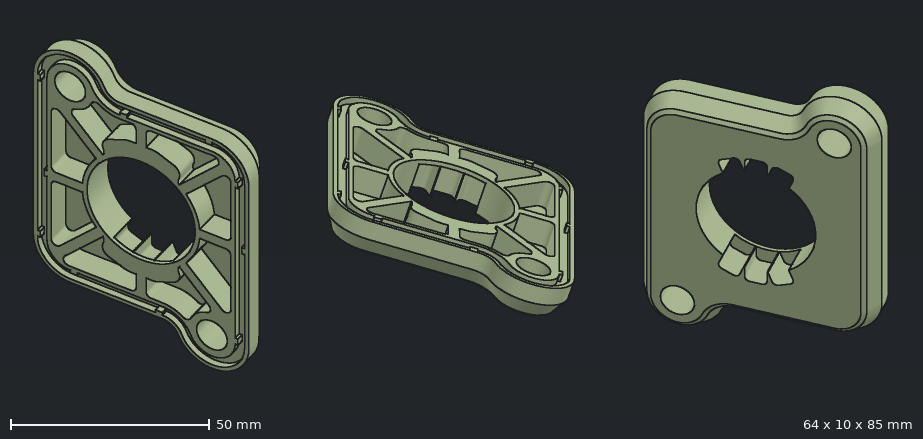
import cadquery as cq
import math


thickness = 10.0
length = 85.0
width = 64.0
half_width = width / 2
corner_radius = 11.0
lug_x = half_width - corner_radius
lug_z = length / 2 - corner_radius
half_height = 32.7
corner_z = half_height - corner_radius
lug_blend_radius = 5.0
lug_hole_diameter = 9.1

straight_side = 4.9
bevel_angle = 30.0
back_chamfer = 0.85

wall = 1.3
groove_width = 2.8
groove_depth = 1.95
groove_inner_offset = wall + groove_width
nub_length = 2.0
nub_height = 0.85

pocket_offset = groove_inner_offset + wall
pocket_depth = 7.05
lug_boss_radius = corner_radius - groove_inner_offset
pocket_corner_radius = 1.5
rib_width = 3.0
rib_angles = (0, 45, 90, 135)
bore_diameter = 32.0
hub_wall = 1.45
ring_radius = bore_diameter / 2 + hub_wall

slot_width = 6.0
slot_half_width = slot_width / 2
slot_reach = 20.0
slot_pitch_angle = 22.5
slot_corner_radius = 1.4
slot_front_wall = 1.3
housing_half_width = slot_half_width + hub_wall
housing_reach = slot_reach + hub_wall
housing_corner_radius = slot_corner_radius + hub_wall
housing_foot_radius = 2.0
housing_crown_radius = 5.95

blend_z = half_height + lug_blend_radius
blend_center_distance = corner_radius + lug_blend_radius
blend_run = math.sqrt(blend_center_distance**2 - (blend_z - lug_z) ** 2)
blend_x = -lug_x + blend_run


def front_plane(y=0.0):
    """Workplane at depth y whose local axes are X and Z; a negative extrusion goes to the back."""
    return cq.Workplane("XZ", origin=(0, y, 0))


def box(x_min, x_max, y_min, y_max, z_min, z_max):
    """Block between the given limits along each axis."""
    size = (x_max - x_min, y_max - y_min, z_max - z_min)
    return cq.Workplane("XY").box(*size, centered=False).translate((x_min, y_min, z_min))


def turned(shape, angle):
    """The shape turned about the bore axis."""
    return shape.rotate((0, 0, 0), (0, 1, 0), angle)


def outline(plane, offset=0.0):
    """Closed plate outline, moved inwards by offset."""
    lug_r = corner_radius - offset
    blend_r = lug_blend_radius + offset
    side = half_width - offset
    edge = half_height - offset
    diagonal = lug_r * math.sqrt(0.5)
    touch_x = -lug_x + blend_run * lug_r / blend_center_distance
    touch_z = lug_z + (blend_z - lug_z) * lug_r / blend_center_distance
    blend_angle = (math.atan2(touch_z - blend_z, touch_x - blend_x) - math.pi / 2) / 2
    mid_x = blend_x + blend_r * math.cos(blend_angle)
    mid_z = blend_z + blend_r * math.sin(blend_angle)
    return (
        plane.moveTo(-side, -corner_z)
        .lineTo(-side, lug_z)
        .threePointArc((-lug_x, lug_z + lug_r), (touch_x, touch_z))
        .threePointArc((mid_x, mid_z), (blend_x, edge))
        .lineTo(lug_x, edge)
        .threePointArc((lug_x + diagonal, corner_z + diagonal), (side, corner_z))
        .lineTo(side, -lug_z)
        .threePointArc((lug_x, -lug_z - lug_r), (-touch_x, -touch_z))
        .threePointArc((-mid_x, -mid_z), (-blend_x, -edge))
        .lineTo(-lug_x, -edge)
        .threePointArc((-lug_x - diagonal, -corner_z - diagonal), (-side, -corner_z))
        .close()
    )


def plate():
    """Solid plate with a bevelled and chamfered back edge."""
    body = outline(front_plane()).extrude(-straight_side)
    bevel = outline(front_plane(straight_side)).extrude(straight_side - thickness, taper=bevel_angle)
    bevel = bevel.faces(">Y").edges().chamfer(back_chamfer)
    return body.union(bevel)


def groove():
    """Channel between the lip and the inner wall."""
    outer = outline(front_plane(), wall).extrude(-groove_depth)
    inner = outline(front_plane(), groove_inner_offset).extrude(-groove_depth)
    return outer.cut(inner).cut(groove_nubs())


def groove_nubs():
    """Small blocks narrowing the groove, half of them on the lip and half on the inner wall."""
    lip_nub = wall + nub_height
    inner_nub = groove_inner_offset - nub_height
    inner_root = groove_inner_offset + nub_height
    lip_side = half_width - lip_nub
    inner_side = half_width - inner_nub
    lip_edge = half_height - lip_nub
    inner_edge = half_height - inner_nub
    spans = [
        (-half_width, -lip_side, lug_z - nub_length, lug_z),
        (-half_width, -lip_side, -corner_z, -corner_z + nub_length),
        (-inner_side, inner_root - half_width, -nub_length / 2, nub_length / 2),
        (lip_side, half_width, -nub_length / 2, nub_length / 2),
        (half_width - inner_root, inner_side, corner_z - nub_length, corner_z),
        (half_width - inner_root, inner_side, -lug_z, -lug_z + nub_length),
        (blend_x, blend_x + nub_length, half_height - inner_root, inner_edge),
        (lug_x - nub_length, lug_x, lip_edge, half_height),
        (-lug_x, -lug_x + nub_length, -inner_edge, inner_root - half_height),
        (-blend_x - nub_length, -blend_x, -half_height, -lip_edge),
    ]
    nubs = cq.Workplane("XY")
    for x_min, x_max, z_min, z_max in spans:
        nubs = nubs.add(box(x_min, x_max, 0, groove_depth, z_min, z_max))
    return nubs.combine()


def lug_cylinders(radius, depth):
    """A cylinder on each lug centre."""
    centers = [(-lug_x, lug_z), (lug_x, -lug_z)]
    return front_plane().pushPoints(centers).circle(radius).extrude(-depth)


def tilted_point(across, out):
    """Point of the right-hand tilted keyway: distance across it and distance out from the bore axis."""
    tilt = math.radians(slot_pitch_angle)
    x = across * math.cos(tilt) + out * math.sin(tilt)
    z = out * math.cos(tilt) - across * math.sin(tilt)
    return x, z


def housing():
    """Block around the upper three keyways, with one flat face over each."""
    crown_x = housing_reach * math.tan(math.radians(slot_pitch_angle / 2))
    tip_x, tip_z = tilted_point(housing_half_width, housing_reach)
    foot_x, foot_z = tilted_point(housing_half_width, 0)
    right_side = [(crown_x, housing_reach), (tip_x, tip_z), (foot_x, foot_z)]
    left_side = [(-x, z) for x, z in reversed(right_side)]
    block = front_plane().polyline(right_side + left_side).close().extrude(-thickness)
    block = block.edges("|Y and (>X or <X)").fillet(housing_corner_radius)
    return block.edges("|Y and >Z").fillet(housing_crown_radius)


def hub():
    """Ring around the bore with a keyway housing above and below."""
    body = front_plane().circle(ring_radius).extrude(-thickness)
    for angle in (0, 180):
        body = body.union(turned(housing(), angle))
    foot_out = math.sqrt(ring_radius**2 - housing_half_width**2)
    foot_x, foot_z = tilted_point(housing_half_width, foot_out)
    for x in (-foot_x, foot_x):
        for z in (-foot_z, foot_z):
            foot_edge = cq.NearestToPointSelector((x, thickness / 2, z))
            body = body.edges(foot_edge).fillet(housing_foot_radius)
    return body


def ribs():
    """Bars through the bore axis, longer than the plate, that keep material between the pockets."""
    bar = box(-length, length, 0, thickness, -rib_width / 2, rib_width / 2)
    bars = cq.Workplane("XY")
    for angle in rib_angles:
        bars = bars.add(turned(bar, angle))
    return bars.combine()


def pockets():
    """Eight hollows between the ribs, the outer wall, the lug bosses and the hub."""
    floor_area = outline(front_plane(), pocket_offset).extrude(-pocket_depth)
    lug_bosses = lug_cylinders(lug_boss_radius, thickness)
    blanks = floor_area.cut(ribs()).cut(lug_bosses)
    rounded = cq.Workplane("XY")
    for face in blanks.faces("<Y").vals():
        shrunk = front_plane().add(face.outerWire()).toPending().offset2D(-pocket_corner_radius)
        grown = front_plane().add(shrunk.val()).toPending().offset2D(pocket_corner_radius)
        rounded = rounded.add(grown.extrude(-pocket_depth))
    return rounded.combine().cut(hub())


def keyways():
    """Slots in the bore wall, open at the back."""
    slot = box(-slot_half_width, slot_half_width, slot_front_wall, thickness, 0, slot_reach)
    slot = slot.edges("|Y and >Z").fillet(slot_corner_radius)
    slots = cq.Workplane("XY")
    for middle in (0, 180):
        for step in (-1, 0, 1):
            slots = slots.add(turned(slot, middle + step * slot_pitch_angle))
    return slots.combine()


bore = front_plane().circle(bore_diameter / 2).extrude(-thickness)

result = (
    plate()
    .cut(groove())
    .cut(pockets())
    .cut(bore)
    .cut(keyways())
    .cut(lug_cylinders(lug_hole_diameter / 2, thickness))
)